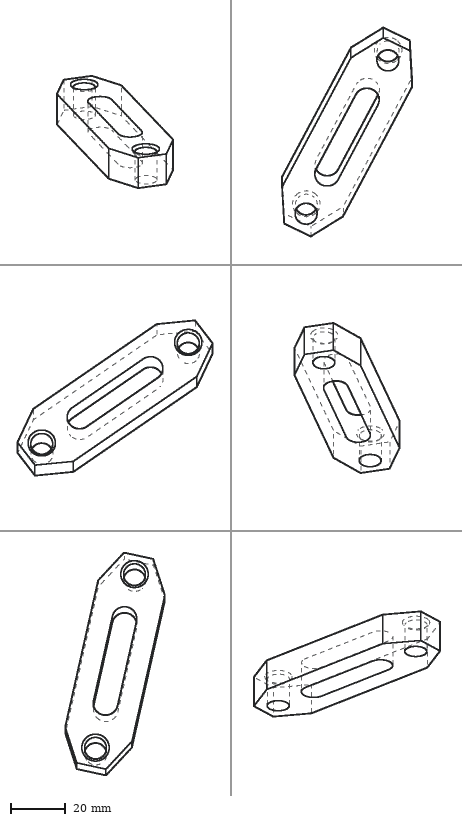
import cadquery as cq
import math

length = 80.0
width = 25.0
thickness = 12.0

corner_length = 12.2
corner_angle = 30.0
corner_width = corner_length * math.tan(math.radians(corner_angle))

slot_length = 41.0
slot_width = 9.0

hole_spacing = 66.0
hole_diameter = 8.0
countersink_diameter = 10.0
countersink_angle = 90.0


def make_plate():
    """Elongated octagon, centred on the origin and standing on Z = 0."""
    half_length = length / 2
    half_width = width / 2
    shoulder_x = half_length - corner_length
    end_y = half_width - corner_width
    outline = [
        (half_length, -end_y),
        (half_length, end_y),
        (shoulder_x, half_width),
        (-shoulder_x, half_width),
        (-half_length, end_y),
        (-half_length, -end_y),
        (-shoulder_x, -half_width),
        (shoulder_x, -half_width),
    ]
    return cq.Workplane("XY").polyline(outline).close().extrude(thickness)


def cut_slot(body):
    """Round-ended slot through the plate, along X."""
    return body.faces(">Z").workplane().slot2D(slot_length, slot_width).cutThruAll()


def cut_end_holes(body):
    """Countersunk through hole near each end."""
    return (
        body.faces(">Z")
        .workplane(origin=(0, 0, thickness))
        .pushPoints([(-hole_spacing / 2, 0), (hole_spacing / 2, 0)])
        .cskHole(hole_diameter, countersink_diameter, countersink_angle)
    )


result = cut_end_holes(cut_slot(make_plate()))